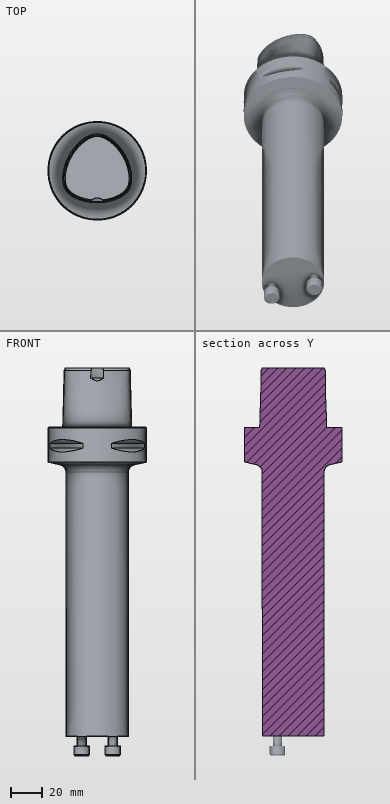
import cadquery as cq
import math

total_height = 248.0
taper_height = 38.0
flange_height = 22.3
body_bottom = 12.5
flange_top = total_height - taper_height
flange_bottom = flange_top - flange_height

body_radius = 40.0 / 2
flange_radius = 63.0 / 2
flange_chamfer = 0.5
neck_cone_angle = 13.0
neck_fillet = 4.5

lobe_mean_radius = 22.0
lobe_amplitude = 1.6
taper_ratio = 1 / 40
tip_height = 1.7
tip_inset = 0.7
lobe_count = 3
points_per_lobe = 12

notch_radius = 5.2
notch_axis_y = -22.5
notch_depth = 6.5
notch_point_height = 4.2

groove_count = 4
groove_floor_radius = 27.8
groove_floor_height = 3.0
groove_mouth_height = 8.0
groove_level = 198.2

screw_offset = 10.0
screw_shank_radius = 6.0 / 2
screw_head_radius = 10.0 / 2
screw_head_height = 6.2
screw_head_chamfer = 0.7


def lobed_outline(mean_radius):
    """Points of a constant-width three-lobed curve with one lobe toward +Y."""
    points = []
    count = lobe_count * points_per_lobe
    for i in range(count):
        angle = 2 * math.pi * i / count
        support = mean_radius + lobe_amplitude * math.cos(lobe_count * angle)
        slope = -lobe_count * lobe_amplitude * math.sin(lobe_count * angle)
        along = support * math.cos(angle) - slope * math.sin(angle)
        across = support * math.sin(angle) + slope * math.cos(angle)
        points.append((-across, along))
    return points


def lobed_frustum(bottom, bottom_radius, height, top_radius):
    """Solid between two lobed outlines of different mean radius."""
    return (
        cq.Workplane("XY", origin=(0, 0, bottom))
        .spline(lobed_outline(bottom_radius), periodic=True).close()
        .workplane(offset=height)
        .spline(lobed_outline(top_radius), periodic=True).close()
        .loft(ruled=True)
    )


def make_taper():
    """Lobed taper with a chamfered tip and a notch on the -Y side."""
    main_height = taper_height - tip_height
    shoulder_radius = lobe_mean_radius - main_height * taper_ratio
    main = lobed_frustum(flange_top, lobe_mean_radius, main_height, shoulder_radius)
    tip = lobed_frustum(
        total_height - tip_height, shoulder_radius, tip_height, shoulder_radius - tip_inset
    )
    notch_floor = total_height - notch_depth
    notch = (
        cq.Workplane("XZ", origin=(0, notch_axis_y, 0))
        .moveTo(0, total_height)
        .lineTo(notch_radius, total_height)
        .lineTo(notch_radius, notch_floor)
        .lineTo(0, notch_floor - notch_point_height)
        .close()
        .revolve(360, (0, 0, 0), (0, 1, 0))
    )
    return main.union(tip).cut(notch)


def make_body():
    """Round shank and flange joined by a shallow cone and a fillet."""
    rim_radius = flange_radius - flange_chamfer
    cone_drop = (flange_radius - body_radius) * math.tan(math.radians(neck_cone_angle))
    neck_level = flange_bottom - cone_drop
    body = (
        cq.Workplane("XZ")
        .moveTo(0, body_bottom)
        .lineTo(body_radius, body_bottom)
        .lineTo(body_radius, neck_level)
        .lineTo(flange_radius, flange_bottom)
        .lineTo(flange_radius, flange_top - flange_chamfer)
        .lineTo(rim_radius, flange_top)
        .lineTo(0, flange_top)
        .close()
        .revolve(360, (0, 0, 0), (0, 1, 0))
    )
    neck_edge = cq.selectors.BoxSelector(
        (-body_radius, -body_radius, neck_level - neck_fillet),
        (body_radius, body_radius, neck_level + cone_drop / 2),
        boundingbox=False,
    )
    return body.edges("%CIRCLE").edges(neck_edge).fillet(neck_fillet)


def make_groove(angle):
    """Straight trapezoidal groove cutter across the flange rim."""
    half_floor = groove_floor_height / 2
    half_mouth = groove_mouth_height / 2
    return (
        cq.Workplane("XZ")
        .polyline([
            (groove_floor_radius, groove_level - half_floor),
            (flange_radius, groove_level - half_mouth),
            (flange_radius, groove_level + half_mouth),
            (groove_floor_radius, groove_level + half_floor),
        ])
        .close()
        .extrude(flange_radius, both=True)
        .rotate((0, 0, 0), (0, 0, 1), angle)
    )


def make_screw(x, y):
    """Cap screw hanging below the end face, head down."""
    head = (
        cq.Workplane("XY", origin=(x, y, 0))
        .circle(screw_head_radius)
        .extrude(screw_head_height)
        .faces("<Z").edges().chamfer(screw_head_chamfer)
    )
    shank = cq.Workplane("XY", origin=(x, y, 0)).circle(screw_shank_radius).extrude(body_bottom)
    return head.union(shank)


result = make_body().union(make_taper())
for index in range(groove_count):
    result = result.cut(make_groove((index + 0.5) * 360 / groove_count))

for side in (-1, 1):
    result = result.union(make_screw(side * screw_offset, -side * screw_offset))